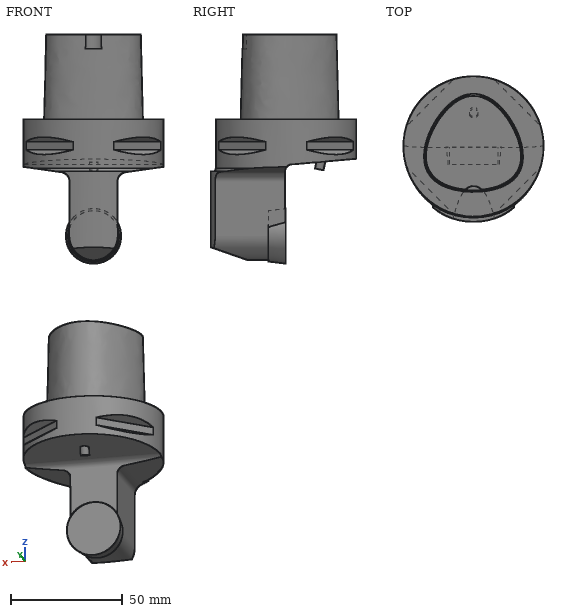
import cadquery as cq
import math


SHANK_HEIGHT = 38.1
LOBE_MEAN_RADIUS = 22.0
LOBE_ECCENTRICITY = 1.5
SHANK_TAPER = 1 / 40
SHANK_CURVE_POINTS = 36

NOTCH_RADIUS = 4.6
NOTCH_INNER_Y = -17.8
NOTCH_DEPTH = 6.4

FLANGE_RADIUS = 31.5
FLANGE_SIDE_HEIGHT = 21.9
COLLAR_RADIUS = 32.0
LEDGE_Z = -23.3
BLADE_FRONT_Y = -33.9
BLADE_FRONT_RADIUS = 27.3
BLADE_FRONT_FLAT = 1.0
BLADE_HALF_WIDTH = 10.8
NOSE_CENTER_Z = -52.4
BLADE_BACK_Y = -0.4

BACK_RIM_Z = -17.8
BACK_SLOPE = math.radians(5)
BACK_FILLET = 3.1
SIDE_RIM_Z = -21.4
SIDE_SLOPE = math.radians(8)
SIDE_FILLET = 4.1

NOSE_CUT_START_Y = -17.4
NOSE_CUT_FRONT_Z = -57.5

SLOT_COUNT = 4
SLOT_FLOOR_RADIUS = 27.8
SLOT_Z = -11.9
SLOT_FLOOR_HALF_HEIGHT = 1.8
SLOT_RIM_HALF_HEIGHT = 3.9

NOZZLE_DIAMETER = 4.0
NOZZLE_TIP_Y = 14.8
NOZZLE_TIP_Z = -22.6
NOZZLE_TILT = 12.0
NOZZLE_LENGTH = 6.2

INSERT_RADIUS = 12.5
INSERT_THICKNESS = 7.8
INSERT_CLEARANCE = math.radians(7)
INSERT_FACE_Y = -0.1

MARGIN = 5.1
NOSE_BOTTOM_Z = NOSE_CENTER_Z - BLADE_HALF_WIDTH
LOWEST_Z = NOSE_BOTTOM_Z - MARGIN
REACH = FLANGE_RADIUS + MARGIN


def lobed_section(z):
    """Closed three-lobed wire of the shank at height z."""
    mean_radius = LOBE_MEAN_RADIUS - SHANK_TAPER * z
    points = []
    for i in range(SHANK_CURVE_POINTS):
        angle = 2 * math.pi * i / SHANK_CURVE_POINTS
        x = mean_radius * math.sin(angle) - LOBE_ECCENTRICITY * math.sin(2 * angle)
        y = mean_radius * math.cos(angle) + LOBE_ECCENTRICITY * math.cos(2 * angle)
        points.append(cq.Vector(x, y, z))
    return cq.Wire.assembleEdges([cq.Edge.makeSpline(points, periodic=True)])


def make_shank():
    sections = [lobed_section(0), lobed_section(SHANK_HEIGHT)]
    shank = cq.Workplane(cq.Solid.makeLoft(sections, True))
    notch = (
        cq.Workplane("XY", origin=(0, NOTCH_INNER_Y - NOTCH_RADIUS, SHANK_HEIGHT - NOTCH_DEPTH))
        .circle(NOTCH_RADIUS)
        .extrude(NOTCH_DEPTH + MARGIN)
    )
    return shank.cut(notch)


def make_footprint():
    """Flange cylinder and collar cone, with the rounded-front column of the blade below."""
    flange = (
        cq.Workplane("XZ")
        .moveTo(0, 0)
        .lineTo(FLANGE_RADIUS, 0)
        .lineTo(FLANGE_RADIUS, -FLANGE_SIDE_HEIGHT)
        .lineTo(COLLAR_RADIUS, LEDGE_Z)
        .lineTo(0, LEDGE_Z)
        .close()
        .revolve(360, (0, 0, 0), (0, 1, 0))
    )
    half_flat = BLADE_FRONT_FLAT / 2
    arc_center_y = BLADE_FRONT_Y + BLADE_FRONT_RADIUS
    diagonal = BLADE_FRONT_RADIUS * math.sqrt(0.5)
    side_x = half_flat + BLADE_FRONT_RADIUS
    column = (
        cq.Workplane("XY", origin=(0, 0, LEDGE_Z))
        .moveTo(-half_flat, BLADE_FRONT_Y)
        .lineTo(half_flat, BLADE_FRONT_Y)
        .threePointArc((half_flat + diagonal, arc_center_y - diagonal), (side_x, arc_center_y))
        .lineTo(side_x, 0)
        .lineTo(-side_x, 0)
        .lineTo(-side_x, arc_center_y)
        .threePointArc((-half_flat - diagonal, arc_center_y - diagonal), (-half_flat, BLADE_FRONT_Y))
        .close()
        .extrude(LOWEST_Z - LEDGE_Z)
    )
    return flange.union(column)


def make_side_profile():
    """Profile along X: tilted underside, fillet, blade back and sloping nose cut."""
    center_y = BLADE_BACK_Y + BACK_FILLET
    start_y = center_y + BACK_FILLET * math.sin(BACK_SLOPE)
    start_z = BACK_RIM_Z - (FLANGE_RADIUS - start_y) * math.tan(BACK_SLOPE)
    center_z = start_z - BACK_FILLET * math.cos(BACK_SLOPE)
    mid_angle = (math.pi + math.pi / 2 - BACK_SLOPE) / 2
    mid = (center_y + BACK_FILLET * math.cos(mid_angle), center_z + BACK_FILLET * math.sin(mid_angle))
    nose_slope = (NOSE_CUT_FRONT_Z - NOSE_BOTTOM_Z) / (NOSE_CUT_START_Y - BLADE_FRONT_Y)
    front_z = NOSE_BOTTOM_Z + nose_slope * (NOSE_CUT_START_Y + REACH)
    return (
        cq.Workplane("YZ")
        .moveTo(-REACH, 0)
        .lineTo(REACH, 0)
        .lineTo(REACH, BACK_RIM_Z + MARGIN * math.tan(BACK_SLOPE))
        .lineTo(start_y, start_z)
        .threePointArc(mid, (BLADE_BACK_Y, center_z))
        .lineTo(BLADE_BACK_Y, NOSE_BOTTOM_Z)
        .lineTo(NOSE_CUT_START_Y, NOSE_BOTTOM_Z)
        .lineTo(-REACH, front_z)
        .close()
        .extrude(REACH, both=True)
    )


def make_front_profile():
    """Profile along Y: underside falling to the filleted blade with its round nose."""
    center_x = BLADE_HALF_WIDTH + SIDE_FILLET
    start_x = center_x - SIDE_FILLET * math.sin(SIDE_SLOPE)
    start_z = SIDE_RIM_Z - (FLANGE_RADIUS - start_x) * math.tan(SIDE_SLOPE)
    center_z = start_z - SIDE_FILLET * math.cos(SIDE_SLOPE)
    mid_angle = (math.pi + math.pi / 2 + SIDE_SLOPE) / 2
    mid_x = center_x + SIDE_FILLET * math.cos(mid_angle)
    mid_z = center_z + SIDE_FILLET * math.sin(mid_angle)
    rim_z = SIDE_RIM_Z + MARGIN * math.tan(SIDE_SLOPE)
    return (
        cq.Workplane("XZ")
        .moveTo(-REACH, 0)
        .lineTo(REACH, 0)
        .lineTo(REACH, rim_z)
        .lineTo(start_x, start_z)
        .threePointArc((mid_x, mid_z), (BLADE_HALF_WIDTH, center_z))
        .lineTo(BLADE_HALF_WIDTH, NOSE_CENTER_Z)
        .threePointArc((0, NOSE_BOTTOM_Z), (-BLADE_HALF_WIDTH, NOSE_CENTER_Z))
        .lineTo(-BLADE_HALF_WIDTH, center_z)
        .threePointArc((-mid_x, mid_z), (-start_x, start_z))
        .lineTo(-REACH, rim_z)
        .close()
        .extrude(REACH, both=True)
    )


def make_slot(angle):
    """Cutter for one straight gripper slot with flared walls."""
    flare = (SLOT_RIM_HALF_HEIGHT - SLOT_FLOOR_HALF_HEIGHT) / (FLANGE_RADIUS - SLOT_FLOOR_RADIUS)
    outer_half_height = SLOT_FLOOR_HALF_HEIGHT + flare * (REACH - SLOT_FLOOR_RADIUS)
    return (
        cq.Workplane("XZ")
        .moveTo(SLOT_FLOOR_RADIUS, SLOT_Z - SLOT_FLOOR_HALF_HEIGHT)
        .lineTo(REACH, SLOT_Z - outer_half_height)
        .lineTo(REACH, SLOT_Z + outer_half_height)
        .lineTo(SLOT_FLOOR_RADIUS, SLOT_Z + SLOT_FLOOR_HALF_HEIGHT)
        .close()
        .extrude(REACH, both=True)
        .rotate((0, 0, 0), (0, 0, 1), angle)
    )


def make_nozzle():
    """Coolant nozzle leaning toward the blade, with its root inside the flange."""
    return (
        cq.Workplane("XY")
        .circle(NOZZLE_DIAMETER / 2)
        .extrude(NOZZLE_LENGTH)
        .rotate((0, 0, 0), (1, 0, 0), -NOZZLE_TILT)
        .translate((0, NOZZLE_TIP_Y, NOZZLE_TIP_Z))
    )


def make_insert():
    """Round insert narrowing from its rake face toward -Y."""
    back_radius = INSERT_RADIUS - INSERT_THICKNESS * math.tan(INSERT_CLEARANCE)
    return cq.Workplane(
        cq.Solid.makeCone(
            INSERT_RADIUS,
            back_radius,
            INSERT_THICKNESS,
            cq.Vector(0, INSERT_FACE_Y, NOSE_CENTER_Z),
            cq.Vector(0, -1, 0),
        )
    )


def make_holder(insert):
    """Shank, flange, blade and nozzle as one body, with a seat for the insert."""
    holder = make_footprint().intersect(make_side_profile()).intersect(make_front_profile())
    for i in range(SLOT_COUNT):
        holder = holder.cut(make_slot((i + 0.5) * 360 / SLOT_COUNT))
    return holder.union(make_shank()).union(make_nozzle()).cut(insert)


insert = make_insert()
holder = make_holder(insert)

result = cq.Compound.makeCompound([holder.val(), insert.val()])